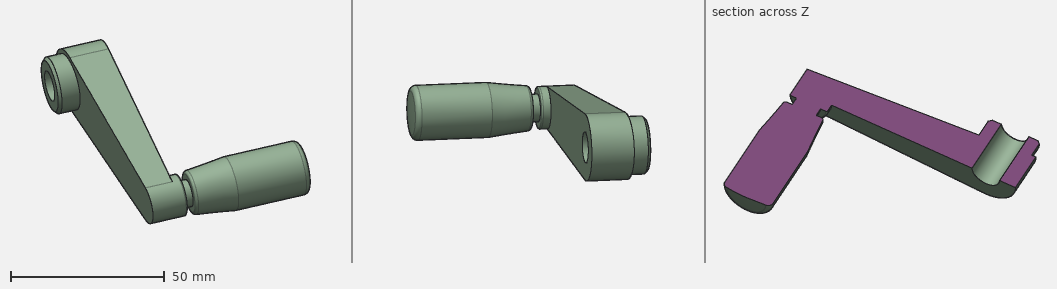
import cadquery as cq
import math

grip_offset = 64.0
hub_radius = 11.0
tip_radius = 7.0
arm_front_at_hub = -13.35
arm_front_angle = 3.6

boss_radius = 9.5
boss_front = -20.0
boss_chamfer = 1.0
bore_radius = 5.0

collar_height = 3.0
collar_round = 0.5
neck_radius = 4.5

grip_start = 5.7
grip_start_radius = 7.3
grip_start_round = 1.0
taper_hollow = 0.1
taper_end = 19.8
grip_radius = 9.0
grip_end = 44.9
grip_end_round = 1.85
dome_height = 0.4


def cylinder_along_y(radius, y_start, y_end, x=0.0):
    """Round bar parallel to Y between two Y positions."""
    plane = cq.Workplane("XZ", origin=(x, y_end, 0))
    return plane.circle(radius).extrude(y_end - y_start)


def make_arm():
    """Tapered link between hub and tip, with a sloping front face and a raised collar at the tip."""
    sine = (hub_radius - tip_radius) / grip_offset
    cosine = math.sqrt(1 - sine**2)
    hub_x = hub_radius * sine
    hub_z = hub_radius * cosine
    tip_x = grip_offset + tip_radius * sine
    tip_z = tip_radius * cosine
    link = (
        cq.Workplane("XZ")
        .polyline([(hub_x, hub_z), (tip_x, tip_z), (tip_x, -tip_z), (hub_x, -hub_z)])
        .close()
        .extrude(-boss_front)
    )
    hub = cylinder_along_y(hub_radius, boss_front, 0)
    tip = cylinder_along_y(tip_radius, boss_front, collar_height, grip_offset)
    tip = tip.faces(">Y").edges().fillet(collar_round)
    body = hub.union(link).union(tip)

    slope = math.tan(math.radians(arm_front_angle))
    left = -hub_radius
    right = grip_offset + tip_radius
    sloping_front = (
        cq.Workplane("XY")
        .moveTo(left, boss_front)
        .lineTo(left, arm_front_at_hub + slope * left)
        .lineTo(right, arm_front_at_hub + slope * right)
        .lineTo(right, boss_front)
        .close()
        .extrude(hub_radius, both=True)
    )
    return body.cut(sloping_front)


def make_boss():
    boss = cylinder_along_y(boss_radius, boss_front, 0)
    return boss.faces("<Y").chamfer(boss_chamfer)


def make_neck():
    return cylinder_along_y(neck_radius, 0, grip_start + grip_start_round, grip_offset)


def make_grip():
    """Grip with a slightly hollow taper, rounded ends and a shallow domed cap."""
    taper_mid_radius = (grip_start_radius + grip_radius) / 2 - taper_hollow
    taper_mid_y = (grip_start + taper_end) / 2

    dome_radius = grip_radius - grip_end_round
    corner_y = grip_end - grip_end_round
    corner_reach = grip_end_round * math.sqrt(0.5)

    sphere_radius = (dome_radius**2 + dome_height**2) / (2 * dome_height)
    half_angle = math.asin(dome_radius / sphere_radius) / 2
    dome_top = grip_end + dome_height
    dome_mid_radius = sphere_radius * math.sin(half_angle)
    dome_mid_y = dome_top - sphere_radius * (1 - math.cos(half_angle))

    grip = (
        cq.Workplane("XY", origin=(grip_offset, 0, 0))
        .moveTo(0, grip_start)
        .lineTo(grip_start_radius, grip_start)
        .threePointArc((taper_mid_radius, taper_mid_y), (grip_radius, taper_end))
        .lineTo(grip_radius, corner_y)
        .threePointArc((dome_radius + corner_reach, corner_y + corner_reach), (dome_radius, grip_end))
        .threePointArc((dome_mid_radius, dome_mid_y), (0, dome_top))
        .close()
        .revolve(360, (0, 0, 0), (0, 1, 0))
    )
    return grip.faces("<Y").edges().fillet(grip_start_round)


bore = cylinder_along_y(bore_radius, boss_front, 0)
crank = make_arm().union(make_boss()).cut(bore)
result = crank.union(make_neck()).union(make_grip())